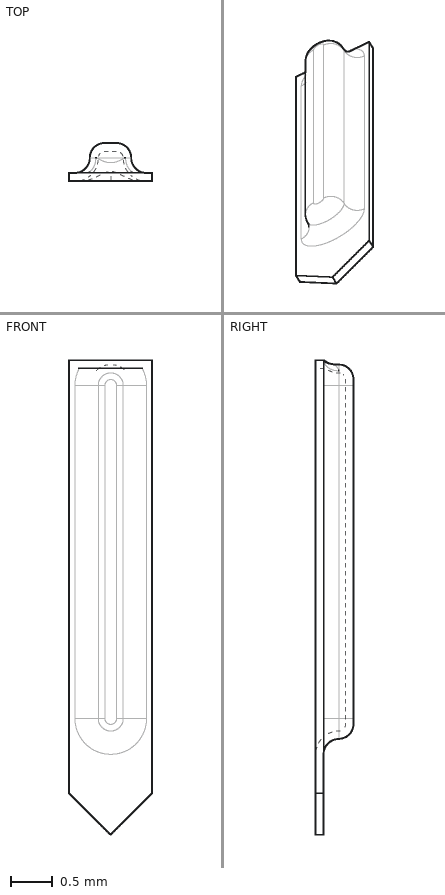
import cadquery as cq

strip_width = 1.0
strip_length = 5.7
thickness = 0.1
point_height = strip_width / 2

bead_height = 0.46
bead_width = 0.5
lower_end_z = 1.4
upper_end_z = 5.4
crest_radius = 0.18

bead_radius = bead_width / 2
shoulder_y = bead_height - crest_radius
root_radius = shoulder_y - thickness

pick_slack = 0.01


def facing_back(y):
    """Plane at the given y whose extrusions go towards +Y, with local X along -X and local Y along Z."""
    return cq.Plane(origin=(0, y, 0), xDir=(-1, 0, 0), normal=(0, 1, 0))


def stadium(radius, y_start, y_end):
    """Prism from y_start to y_end with round ends centred on the two bead end axes."""
    length = upper_end_z - lower_end_z + 2 * radius
    middle_z = (lower_end_z + upper_end_z) / 2
    return (
        cq.Workplane(facing_back(y_start))
        .center(0, middle_z)
        .slot2D(length, 2 * radius, 90)
        .extrude(y_end - y_start)
    )


def pointed_plate(top_z, y_start):
    """Plate as thick as the strip, with a symmetric point at z = 0 and a square top end."""
    half_width = strip_width / 2
    return (
        cq.Workplane(facing_back(y_start))
        .lineTo(half_width, point_height)
        .lineTo(half_width, top_z)
        .lineTo(-half_width, top_z)
        .lineTo(-half_width, point_height)
        .close()
        .extrude(thickness)
    )


def root_edges(radius, face_y):
    """Selector of the edges where a bead wall of the given radius meets the plate face."""
    low = (-radius - pick_slack, face_y - pick_slack, lower_end_z - radius - pick_slack)
    high = (radius + pick_slack, face_y + pick_slack, upper_end_z + radius + pick_slack)
    return cq.selectors.BoxSelector(low, high, boundingbox=True)


def beaded_plate(inset, top_z):
    """Plate with the bead on its back, the whole skin moved inwards by inset.

    Where top_z is too close to the bead, the root fillet runs out on the top edge of the plate.
    """
    radius = bead_radius - inset
    face_y = thickness - inset
    plain_bead = stadium(radius, face_y, bead_height - inset)
    rooted = (
        pointed_plate(top_z, face_y - thickness)
        .union(plain_bead)
        .edges(root_edges(radius, face_y))
        .fillet(root_radius + inset)
    )
    rounded_bead = plain_bead.faces(">Y").edges().fillet(crest_radius - inset)
    crest_zone = stadium(2 * bead_radius, shoulder_y, bead_height)
    return rooted.cut(crest_zone).union(rounded_bead.intersect(crest_zone))


def bead_cavity():
    """Hollow of the bead, one thickness inside its skin and ending one thickness below the top."""
    open_cavity = beaded_plate(thickness, strip_length + strip_width)
    top_lip = (
        cq.Workplane("XY", origin=(0, 0, strip_length - thickness))
        .rect(2 * strip_width, 2 * strip_width)
        .extrude(2 * strip_width)
    )
    return open_cavity.cut(top_lip)


result = beaded_plate(0, strip_length).cut(bead_cavity())